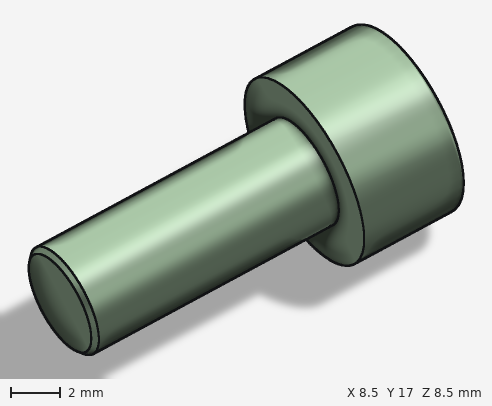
import cadquery as cq

total_length = 17.0
head_diameter = 8.5
head_length = 5.0
shank_diameter = 4.9
edge_size = 0.22

shank_length = total_length - head_length


def make_head():
    """Cylindrical head with its seat on the XZ plane and a rounded outer rim."""
    head = cq.Workplane("XZ").circle(head_diameter / 2).extrude(-head_length)
    return head.faces(">Y").edges().fillet(edge_size)


def make_shank():
    """Plain shank running from the head seat toward -Y, with a chamfered tip."""
    shank = cq.Workplane("XZ").circle(shank_diameter / 2).extrude(shank_length)
    return shank.faces("<Y").edges().chamfer(edge_size)


result = make_head().union(make_shank())